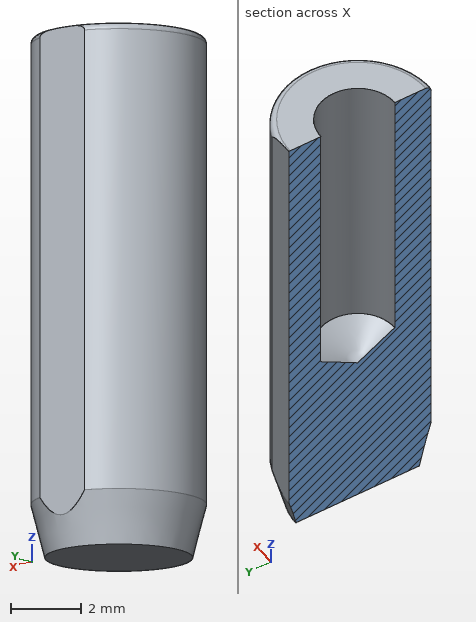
import cadquery as cq
import math

length = 15.0
diameter = 5.0
edge_round = 0.2
taper_length = 1.53
tip_diameter = 4.2
flat_offset = 2.34
hole_diameter = 2.5
hole_depth = 9.0
drill_point_angle = 120.0

body_radius = diameter / 2
tip_radius = tip_diameter / 2
hole_radius = hole_diameter / 2


def pin_body():
    """Round pin with a tapered lower end and a rounded top edge, base at Z = 0."""
    pin = (
        cq.Workplane("XZ")
        .moveTo(0, 0)
        .lineTo(tip_radius, 0)
        .lineTo(body_radius, taper_length)
        .lineTo(body_radius, length)
        .lineTo(0, length)
        .close()
        .revolve(360, (0, 0, 0), (0, 1, 0))
    )
    return pin.faces(">Z").edges().fillet(edge_round)


def blind_hole():
    """Drilled hole from the top face, ending in a conical drill point."""
    point_depth = hole_radius / math.tan(math.radians(drill_point_angle / 2))
    shoulder_z = length - hole_depth
    return (
        cq.Workplane("XZ")
        .moveTo(0, length)
        .lineTo(hole_radius, length)
        .lineTo(hole_radius, shoulder_z)
        .lineTo(0, shoulder_z - point_depth)
        .close()
        .revolve(360, (0, 0, 0), (0, 1, 0))
    )


def side_flat():
    """Material beyond the full-length flat on the +Y side."""
    return cq.Workplane("XY").box(
        diameter, body_radius, length, centered=(True, False, False)
    ).translate((0, flat_offset, 0))


result = pin_body().cut(blind_hole()).cut(side_flat())